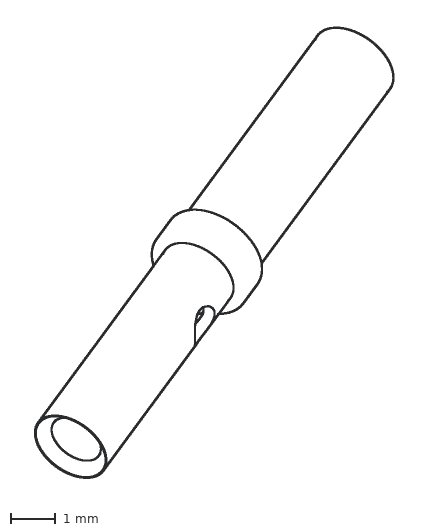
import cadquery as cq
import math

total_length = 13.36
barrel_length = 6.0
barrel_diameter = 1.8
collar_length = 0.85
collar_diameter = 2.4
collar_edge_radius = 0.1
rear_diameter = 2.0

bore_diameter = 1.24
bore_depth = 5.35
drill_tip_angle = 118.0
mouth_diameter = 1.76
mouth_depth = (mouth_diameter - bore_diameter) / 2

inspection_diameter = 0.94
inspection_distance = 4.64

front_y = -total_length / 2
collar_y = front_y + barrel_length
rear_y = collar_y + collar_length
rear_length = total_length - barrel_length - collar_length


def rod(diameter, start_y, length):
    """Solid cylinder along +Y starting at start_y."""
    axis_start = cq.Vector(0, start_y, 0)
    return cq.Workplane(cq.Solid.makeCylinder(diameter / 2, length, axis_start, cq.Vector(0, 1, 0)))


def make_body():
    barrel = rod(barrel_diameter, front_y, barrel_length)
    collar = rod(collar_diameter, collar_y, collar_length).edges("%CIRCLE").fillet(collar_edge_radius)
    rear = rod(rear_diameter, rear_y, rear_length)
    return barrel.union(collar).union(rear)


def make_bore():
    """Flared mouth, straight bore and drill tip, revolved about the Y axis."""
    bore_radius = bore_diameter / 2
    tip_depth = bore_radius / math.tan(math.radians(drill_tip_angle / 2))
    bore_end_y = front_y + bore_depth
    return (
        cq.Workplane("XY")
        .moveTo(0, front_y)
        .lineTo(mouth_diameter / 2, front_y)
        .lineTo(bore_radius, front_y + mouth_depth)
        .lineTo(bore_radius, bore_end_y)
        .lineTo(0, bore_end_y + tip_depth)
        .close()
        .revolve(360, (0, 0, 0), (0, 1, 0))
    )


def make_inspection_hole():
    """Radial hole from the barrel axis out through the +X wall."""
    return (
        cq.Workplane("YZ")
        .center(front_y + inspection_distance, 0)
        .circle(inspection_diameter / 2)
        .extrude(barrel_diameter)
    )


result = make_body().cut(make_bore()).cut(make_inspection_hole())